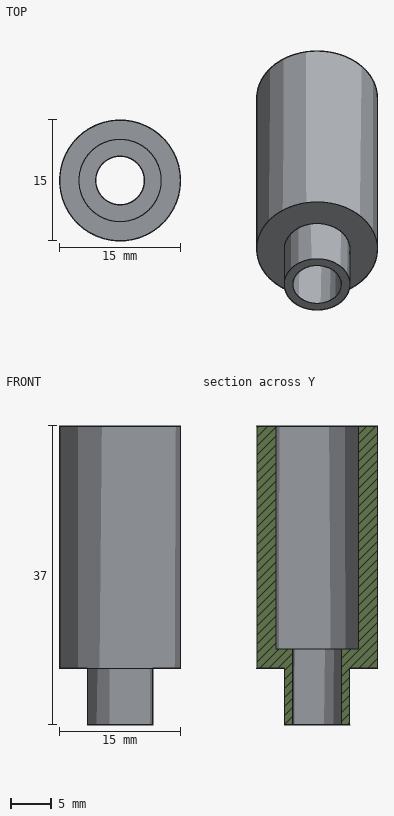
import cadquery as cq

body_diameter = 15.0
body_length = 30.0
stem_diameter = 8.15
stem_length = 7.0
socket_diameter = 10.2
through_hole_diameter = 6.0

wall_thickness = (body_diameter - socket_diameter) / 2
socket_depth = body_length - wall_thickness
total_length = stem_length + body_length


def cylinder(diameter, length, base_z):
    """Upright cylinder on the Z axis, starting at height base_z."""
    return cq.Workplane("XY").workplane(offset=base_z).circle(diameter / 2).extrude(length)


stem = cylinder(stem_diameter, stem_length, 0)
body = cylinder(body_diameter, body_length, stem_length)

socket = cylinder(socket_diameter, socket_depth, total_length - socket_depth)
through_hole = cylinder(through_hole_diameter, total_length, 0)

result = stem.union(body).cut(socket).cut(through_hole)